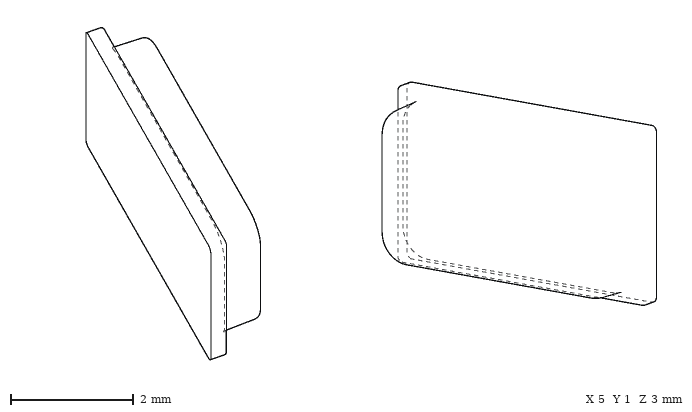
import cadquery as cq

length = 5.0
depth = 1.0
height = 3.0

plate_thickness = 0.3
plate_corner_radius = 0.1
plate_edge_radius = 0.05

lid_end_inset = 0.15
lid_root_inset = 0.15
lid_top_inset = 0.185
lid_corner_radius = 0.5
lid_top_radius = 0.1
lid_root_radius = 0.05


def make_plate():
    """Rounded rectangular plate with its lid-side rim rounded over."""
    plate = cq.Workplane("XY").box(length, plate_thickness, height, centered=(True, False, True))
    plate = plate.edges("|Y").fillet(plate_corner_radius)
    return plate.faces(">Y").edges().fillet(plate_edge_radius)


def make_lid():
    """Lid with rounded corners, narrowing in Z away from the plate."""
    lid_length = length - 2 * lid_end_inset
    root_half_height = height / 2 - lid_root_inset
    top_half_height = height / 2 - lid_top_inset
    side_profile = [
        (plate_thickness, -root_half_height),
        (depth, -top_half_height),
        (depth, top_half_height),
        (plate_thickness, root_half_height),
    ]
    lid = cq.Workplane("YZ").polyline(side_profile).close().extrude(lid_length / 2, both=True)
    lid = lid.edges("not(|X or |Z)").fillet(lid_corner_radius)
    return lid.faces(">Y").edges().fillet(lid_top_radius)


def blend_lid_root(body):
    """Round the inside corner where the lid meets the plate."""
    margin = 0.005
    root_zone = cq.selectors.BoxSelector(
        (-length / 2 + lid_end_inset - margin, plate_thickness - margin, -height / 2 + lid_root_inset - margin),
        (length / 2 - lid_end_inset + margin, plate_thickness + margin, height / 2 - lid_root_inset + margin),
        boundingbox=True,
    )
    return body.edges(root_zone).fillet(lid_root_radius)


result = blend_lid_root(make_plate().union(make_lid()))